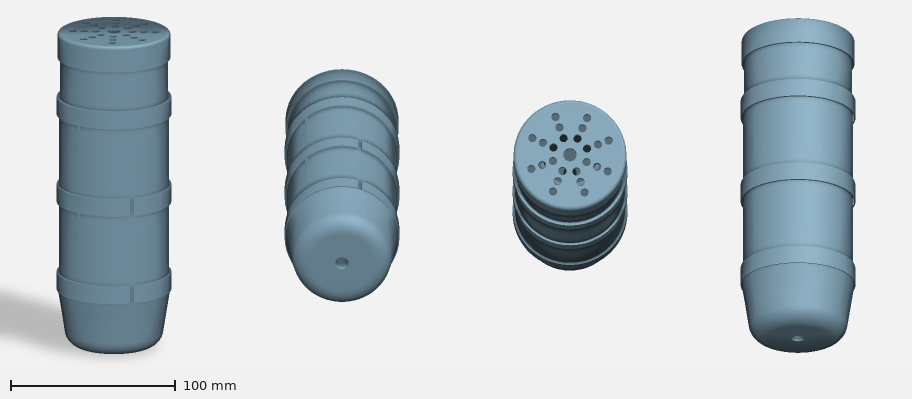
import cadquery as cq

TOTAL_HEIGHT = 197.4
NOSE_HEIGHT = 35.3
RING_HEIGHT = 11.0
MODULE_PITCH = 55.0
MODULE_COUNT = 2
LID_HEIGHT = 16.2
HEAD_BASE = NOSE_HEIGHT + MODULE_COUNT * MODULE_PITCH
LID_BASE = TOTAL_HEIGHT - LID_HEIGHT

RING_DIAMETER = 69.7
MODULE_DIAMETER = 67.0
HEAD_DIAMETER = 65.7
LID_DIAMETER = 68.5

CENTRE_HOLE_DIAMETER = 8.0

NOSE_TOP_DIAMETER = 68.3
NOSE_BOTTOM_DIAMETER = 57.0
NOSE_FILLET = 10.3

LUG_WIDTH = 2.0
LUG_HEIGHT = 4.7
LUG_REACH = 0.8
LUG_ANGLE = -82.0
SLOT_WIDTH = 2.4
SLOT_ANGLE = -24.5

HEAD_BORE_DIAMETER = 32.5
NECK_DIAMETER = 64.0
NECK_HEIGHT = 7.3

LID_PLATE_THICKNESS = 2.5
LID_FILLET = 2.0
VENT_DIAMETER = 5.0
VENT_FIRST_RADIUS = 11.0
VENT_LAST_RADIUS = 25.0
VENTS_PER_SPOKE = 3
SPOKE_COUNT = 8


def cylinder(diameter, height, base=0.0):
    """Upright cylinder on the central axis, standing on the given height."""
    return cq.Workplane("XY").workplane(offset=base).circle(diameter / 2).extrude(height)


def radial_block(inner_radius, outer_radius, width, base, height, angle):
    """Block that reaches outward from the axis in the direction of the given angle."""
    length = outer_radius - inner_radius
    block = cq.Workplane("XY").box(length, width, height, centered=(False, True, False))
    return block.translate((inner_radius, 0, base)).rotate((0, 0, 0), (0, 0, 1), angle)


def make_nose():
    """Tapered end cap with a rounded lower edge."""
    nose = (
        cq.Workplane("XY")
        .circle(NOSE_BOTTOM_DIAMETER / 2)
        .workplane(offset=NOSE_HEIGHT)
        .circle(NOSE_TOP_DIAMETER / 2)
        .loft(ruled=True)
    )
    nose = nose.faces("<Z").edges().fillet(NOSE_FILLET)
    return nose.cut(cylinder(CENTRE_HOLE_DIAMETER, NOSE_HEIGHT))


def make_module(base):
    """Tube section with a slotted ring at its foot and a lug at its upper end."""
    tube_radius = MODULE_DIAMETER / 2
    module = cylinder(RING_DIAMETER, RING_HEIGHT)
    module = module.cut(radial_block(tube_radius, RING_DIAMETER, SLOT_WIDTH, 0, RING_HEIGHT, SLOT_ANGLE))
    module = module.union(cylinder(MODULE_DIAMETER, MODULE_PITCH))

    lug_base = MODULE_PITCH - LUG_HEIGHT
    lug_root = tube_radius - LUG_REACH
    lug_tip = tube_radius + LUG_REACH
    module = module.union(radial_block(lug_root, lug_tip, LUG_WIDTH, lug_base, LUG_HEIGHT, LUG_ANGLE))

    module = module.cut(cylinder(CENTRE_HOLE_DIAMETER, MODULE_PITCH))
    return module.translate((0, 0, base))


def make_head():
    """Upper tube with a ring at its foot, a neck inside the lid and a wide bore."""
    neck_top = LID_BASE + NECK_HEIGHT
    head = cylinder(RING_DIAMETER, RING_HEIGHT, HEAD_BASE)
    head = head.union(cylinder(HEAD_DIAMETER, LID_BASE - HEAD_BASE, HEAD_BASE))
    head = head.union(cylinder(NECK_DIAMETER, neck_top - HEAD_BASE, HEAD_BASE))
    return head.cut(cylinder(HEAD_BORE_DIAMETER, neck_top - HEAD_BASE, HEAD_BASE))


def make_lid():
    """Cup-shaped lid with a centre hole and spokes of small vents."""
    lid = cylinder(LID_DIAMETER, LID_HEIGHT, LID_BASE)
    lid = lid.faces(">Z").edges().fillet(LID_FILLET)
    lid = lid.cut(cylinder(NECK_DIAMETER, LID_HEIGHT - LID_PLATE_THICKNESS, LID_BASE))
    lid = lid.cut(cylinder(CENTRE_HOLE_DIAMETER, LID_HEIGHT, LID_BASE))
    vent_spacing = (VENT_LAST_RADIUS - VENT_FIRST_RADIUS) / (VENTS_PER_SPOKE - 1)
    for row in range(VENTS_PER_SPOKE):
        radius = VENT_FIRST_RADIUS + row * vent_spacing
        vents = (
            cq.Workplane("XY")
            .workplane(offset=LID_BASE)
            .polarArray(radius, 0, 360, SPOKE_COUNT)
            .circle(VENT_DIAMETER / 2)
            .extrude(LID_HEIGHT)
        )
        lid = lid.cut(vents)
    return lid


nose = make_nose()
modules = [make_module(NOSE_HEIGHT + index * MODULE_PITCH) for index in range(MODULE_COUNT)]
head = make_head()
lid = make_lid()

result = cq.Compound.makeCompound([nose.val(), *[module.val() for module in modules], head.val(), lid.val()])